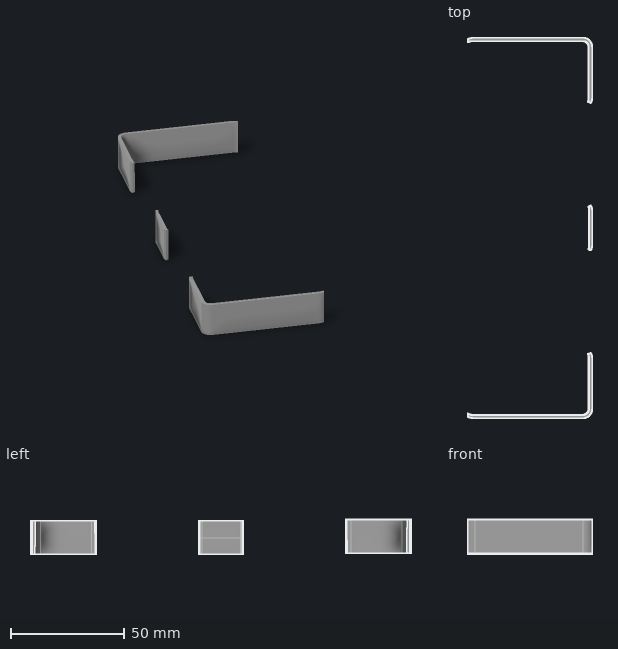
import cadquery as cq
import math

span_x = 55.0
span_y = 168.0
span_z = 15.5
strip_height = 15.0
front_lift = span_z - strip_height
draft_angle = 1.0

bracket_thickness = 1.7
short_leg = 28.9
bend_radius = 4.2

plate_thickness = 1.5
plate_length = 19.8

outer_curl_drop = 0.7
cap_slant = 0.5
long_leg_curl = (3.0, 2.0, 0.5, 0)
short_leg_curl = (2.0, 1.5, 0.3, cap_slant)
plate_curl = (2.0, 0.8, 0.3, cap_slant)

cutter_overrun = 1.7


def curl_arc(tip, inward, along, face_depth, length, drop, setback):
    """Tangent point, middle point, corner and overrun point of the curl on one face.

    `tip` is where the flat outer face would end without the curl, `inward` points from
    the outer face to the inner face and `along` points towards the free end.
    `setback` is how far the corner stops short of the tip.
    """
    radius = (length**2 + drop**2) / (2 * drop)
    sweep = math.asin(length / radius)

    def place(depth, back):
        total_depth = face_depth + depth
        total_back = setback + back
        return tuple(t + total_depth * i - total_back * a for t, i, a in zip(tip, inward, along))

    def arc_point(angle):
        return place(radius * (1 - math.cos(angle)), length - radius * math.sin(angle))

    overrun = place(drop + cutter_overrun * math.sin(sweep), -cutter_overrun * math.cos(sweep))
    return [arc_point(0), arc_point(sweep / 2), arc_point(sweep), overrun]


def curled_end(tip, inward, along, thickness, curl):
    """Outer and inner curl arcs of one free end."""
    outer_length, inner_length, inner_drop, setback = curl
    outer = curl_arc(tip, inward, along, 0, outer_length, outer_curl_drop, 0)
    inner = curl_arc(tip, inward, along, thickness, inner_length, inner_drop, setback)
    return outer, inner


def curl_in(outline, arc):
    """Continue an outline from the flat face along a curl to its corner."""
    tangent, middle, corner, _ = arc
    return outline.lineTo(*tangent).threePointArc(middle, corner)


def curl_out(outline, arc):
    """Continue an outline from the corner of a curl back to the flat face."""
    tangent, middle, corner, _ = arc
    return outline.lineTo(*corner).threePointArc(middle, tangent)


def draft_cutter(outline, height):
    """Solid on the inner side of a strip that widens upward by the draft angle."""
    return outline.close().extrude(height, taper=-draft_angle)


def make_bracket():
    """L-shaped strip at the front right corner, thickest at Z = 0, with both ends curled inward."""
    front_y = -span_y / 2
    bend_x = span_x - bend_radius
    bend_y = front_y + bend_radius
    outer_bend_start = (bend_x, front_y)
    outer_bend_end = (span_x, bend_y)
    inner_bend_start = (bend_x, front_y + bracket_thickness)
    inner_bend_end = (span_x - bracket_thickness, bend_y)

    def bend_middle(radius):
        offset = radius * math.sqrt(0.5)
        return (bend_x + offset, bend_y - offset)

    outer_middle = bend_middle(bend_radius)
    inner_middle = bend_middle(bend_radius - bracket_thickness)
    short_outer, short_inner = curled_end(
        (span_x, front_y + short_leg), (-1, 0), (0, 1), bracket_thickness, short_leg_curl
    )
    long_outer, long_inner = curled_end((0, front_y), (0, 1), (-1, 0), bracket_thickness, long_leg_curl)

    outline = cq.Workplane("XY").moveTo(*outer_bend_start).threePointArc(outer_middle, outer_bend_end)
    outline = curl_in(outline, short_outer)
    outline = curl_out(outline, short_inner)
    outline = outline.lineTo(*inner_bend_end).threePointArc(inner_middle, inner_bend_start)
    outline = curl_in(outline, long_inner)
    outline = curl_out(outline, long_outer)
    strip = outline.close().extrude(strip_height)

    inner_side = curl_out(cq.Workplane("XY").moveTo(*short_inner[-1]), short_inner)
    inner_side = inner_side.lineTo(*inner_bend_end).threePointArc(inner_middle, inner_bend_start)
    inner_side = curl_in(inner_side, long_inner).lineTo(*long_inner[-1])
    return strip.cut(draft_cutter(inner_side, strip_height)).solids()


def make_plate():
    """Straight strip along Y, thickest at mid-height, with both ends curled inward."""
    half_length = plate_length / 2
    half_height = strip_height / 2
    rear_outer, rear_inner = curled_end(
        (span_x, half_length), (-1, 0), (0, 1), plate_thickness, plate_curl
    )
    front_outer, front_inner = curled_end(
        (span_x, -half_length), (-1, 0), (0, -1), plate_thickness, plate_curl
    )

    outline = curl_in(cq.Workplane("XY").moveTo(*front_outer[0]), rear_outer)
    outline = curl_out(outline, rear_inner)
    outline = curl_in(outline, front_inner)
    outline = curl_out(outline, front_outer)
    upper_half = outline.close().extrude(half_height)

    inner_side = curl_out(cq.Workplane("XY").moveTo(*rear_inner[-1]), rear_inner)
    inner_side = curl_in(inner_side, front_inner).lineTo(*front_inner[-1])
    upper_half = upper_half.cut(draft_cutter(inner_side, half_height))
    lower_half = upper_half.mirror("XY")
    return upper_half.union(lower_half).translate((0, 0, half_height)).solids()


front_bracket = make_bracket().translate((0, 0, front_lift))
rear_bracket = make_bracket().rotate((0, 0, 0), (1, 0, 0), 180).translate((0, 0, strip_height))
plate = make_plate()

result = cq.Compound.makeCompound([front_bracket.val(), rear_bracket.val(), plate.val()])